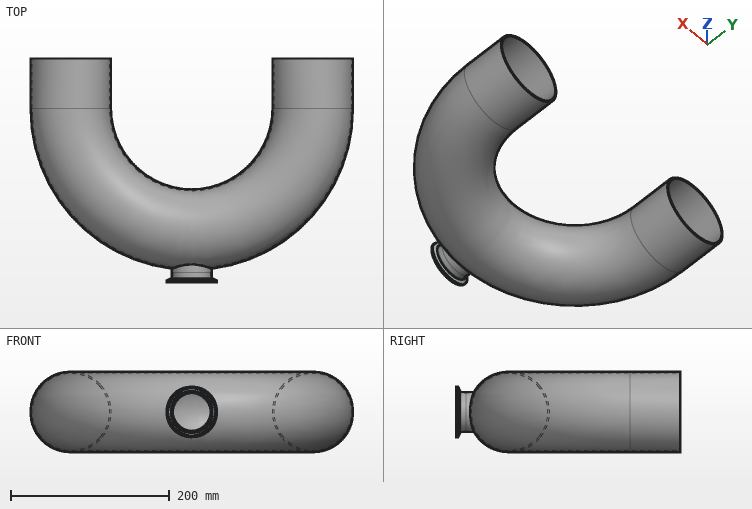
import cadquery as cq
import math

tube_diameter = 101.5
tube_bore = 97.5
overall_width = 406.5
overall_depth = 282.5
leg_length = 63.5
bend_radius = (overall_width - tube_diameter) / 2

branch_diameter = 51.0
branch_bore = 47.5
ferrule_length = 12.5
flange_diameter = 64.0
rim_thickness = 2.5
flange_thickness = 5.0
neck_fillet = 1.2
groove_diameter = 56.0
groove_radius = 1.5
face_y = leg_length - overall_depth
branch_length = -face_y - bend_radius


def u_bend(diameter):
    """Solid U of round section: two straight legs joined by a half-turn bend."""
    centerline = (
        cq.Workplane("XY")
        .moveTo(-bend_radius, leg_length)
        .lineTo(-bend_radius, 0)
        .threePointArc((0, -bend_radius), (bend_radius, 0))
        .lineTo(bend_radius, leg_length)
    )
    section = cq.Workplane("XZ", origin=(-bend_radius, leg_length, 0)).circle(diameter / 2)
    return section.sweep(centerline)


def branch_cylinder(diameter, start_y, length):
    """Cylinder on the branch axis, running from start_y toward +Y."""
    return cq.Workplane("XZ", origin=(0, start_y, 0)).circle(diameter / 2).extrude(-length)


def clamp_flange():
    """Flange with a straight rim, a tapered back and a round gasket groove in its face."""
    neck_radius = branch_diameter / 2
    rim_radius = flange_diameter / 2
    rim_y = face_y + rim_thickness
    back_y = face_y + flange_thickness
    fillet_inset = neck_fillet * (1 - math.sqrt(0.5))
    groove_center = groove_diameter / 2
    profile = (
        cq.Workplane("XY")
        .moveTo(0, face_y)
        .lineTo(groove_center - groove_radius, face_y)
        .threePointArc(
            (groove_center, face_y + groove_radius),
            (groove_center + groove_radius, face_y),
        )
        .lineTo(rim_radius, face_y)
        .lineTo(rim_radius, rim_y)
        .lineTo(neck_radius + neck_fillet, back_y)
        .threePointArc(
            (neck_radius + fillet_inset, back_y + fillet_inset),
            (neck_radius, back_y + neck_fillet),
        )
        .lineTo(0, back_y + neck_fillet)
        .close()
    )
    return profile.revolve(360, (0, 0), (0, 1))


seam_y = face_y + ferrule_length
branch_tube = branch_cylinder(branch_diameter, seam_y, branch_length - ferrule_length)
ferrule = branch_cylinder(branch_diameter, face_y + flange_thickness, ferrule_length - flange_thickness)
ferrule = ferrule.union(clamp_flange())

result = (
    u_bend(tube_diameter)
    .union(branch_tube)
    .union(ferrule, clean=False)
    .cut(u_bend(tube_bore), clean=False)
    .cut(branch_cylinder(branch_bore, face_y, branch_length), clean=False)
)